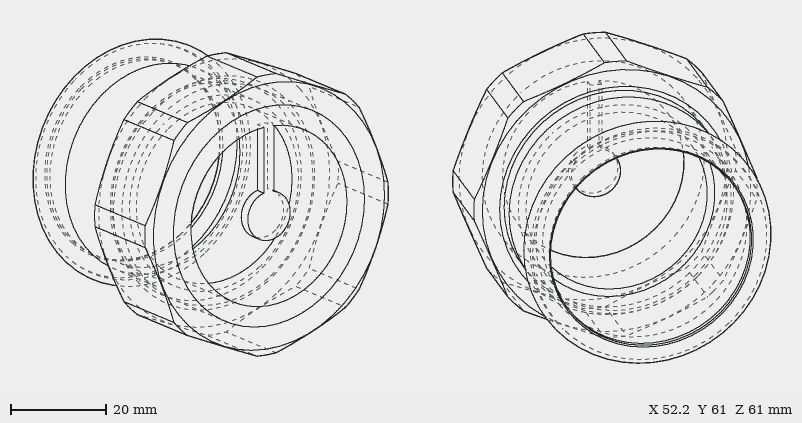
import cadquery as cq
import math

bead_cone_end = 9.0
flare_start = 26.3
collar_start = 28.05
nut_start = 31.2
total_length = 52.2

bead_radius = 26.5
bead_section_radius = 3.55
tube_radius = 45.4 / 2
collar_radius = 47.8 / 2

lip_chamfer = 0.3
mouth_radius = 43.3 / 2
lip_depth = 1.5
groove_crest_radius = 25.35
groove_section_radius = 3.35
groove_cone_angle = 41.5
blend_start = 7.6
blend_start_radius = 21.95
blend_end = 9.75
socket_radius = 42.3 / 2
through_radius = 39 / 2

nut_across_flats = 58.0
nut_corner_radius = 30.5
nut_sides = 8
nut_face_radius = 28.9
nut_bore_radius = collar_radius
countersink_radius = 50.35 / 2
nut_chamfer_angle = 30

disc_radius = 5.3
stem_width = 2.5
disc_thickness = 2.5


def revolve_about_x(profile):
    """Turn a closed (x, radius) profile around the X axis."""
    return profile.close().revolve(360, (0, 0, 0), (1, 0, 0))


def make_tube():
    """Solid press end: rounded bead, cone, tube, concave flare and long collar."""
    center_x = bead_section_radius
    center_r = bead_radius - bead_section_radius

    run = bead_cone_end - center_x
    drop = center_r - tube_radius
    tangent_angle = math.acos(bead_section_radius / math.hypot(run, drop)) - math.atan2(drop, run)

    def bead_point(angle):
        return (
            center_x + bead_section_radius * math.cos(angle),
            center_r + bead_section_radius * math.sin(angle),
        )

    profile = (
        cq.Workplane("XY")
        .lineTo(0, center_r)
        .threePointArc(bead_point((math.pi + tangent_angle) / 2), bead_point(tangent_angle))
        .lineTo(bead_cone_end, tube_radius)
        .lineTo(flare_start, tube_radius)
        .tangentArcPoint((collar_start, collar_radius), relative=False)
        .lineTo(total_length, collar_radius)
        .lineTo(total_length, 0)
    )
    return revolve_about_x(profile)


def make_nut():
    """Octagonal nut with corners on the Y and Z axes and a countersunk bore."""
    length = total_length - nut_start
    octagon_diameter = nut_across_flats / math.cos(math.pi / nut_sides)
    octagon = (
        cq.Workplane("YZ", origin=(nut_start, 0, 0))
        .polygon(nut_sides, octagon_diameter)
        .extrude(length)
    )
    chamfer_length = (nut_corner_radius - nut_face_radius) * math.tan(math.radians(nut_chamfer_angle))
    envelope = revolve_about_x(
        cq.Workplane("XY")
        .moveTo(nut_start, 0)
        .lineTo(nut_start, nut_face_radius)
        .lineTo(nut_start + chamfer_length, nut_corner_radius)
        .lineTo(total_length - chamfer_length, nut_corner_radius)
        .lineTo(total_length, nut_face_radius)
        .lineTo(total_length, 0)
    )
    countersink_depth = countersink_radius - nut_bore_radius
    bore = revolve_about_x(
        cq.Workplane("XY")
        .moveTo(nut_start, 0)
        .lineTo(nut_start, countersink_radius)
        .lineTo(nut_start + countersink_depth, nut_bore_radius)
        .lineTo(total_length, nut_bore_radius)
        .lineTo(total_length, 0)
    )
    return octagon.intersect(envelope).cut(bore)


def make_bore():
    """Chamfered lip, seal groove with a conical rear side, tube socket, stop and through bore."""
    slope = math.radians(groove_cone_angle)
    normal_angle = math.pi / 2 - slope
    groove_center_radius = groove_crest_radius - groove_section_radius
    cone_start_radius = groove_center_radius + groove_section_radius * math.sin(normal_angle)
    cone_start = blend_start - (cone_start_radius - blend_start_radius) / math.tan(slope)
    groove_center = cone_start - groove_section_radius * math.cos(normal_angle)
    lip_wall_radius = groove_center_radius + math.sqrt(
        groove_section_radius**2 - (groove_center - lip_depth) ** 2
    )
    groove_crest = (groove_center, groove_crest_radius)
    return revolve_about_x(
        cq.Workplane("XY")
        .lineTo(0, mouth_radius + lip_chamfer)
        .lineTo(lip_chamfer, mouth_radius)
        .lineTo(lip_depth, mouth_radius)
        .lineTo(lip_depth, lip_wall_radius)
        .threePointArc(groove_crest, (cone_start, cone_start_radius))
        .lineTo(blend_start, blend_start_radius)
        .tangentArcPoint((blend_end, socket_radius), relative=False)
        .lineTo(nut_start, socket_radius)
        .lineTo(nut_start, through_radius)
        .lineTo(total_length, through_radius)
        .lineTo(total_length, 0)
    )


def make_disc_on_stem():
    """Central disc whose stem runs up into the bore wall, flush with the tube's end."""
    plane = cq.Workplane("YZ", origin=(total_length - disc_thickness, 0, 0))
    disc = plane.circle(disc_radius).extrude(disc_thickness)
    stem_length = (through_radius + collar_radius) / 2
    stem = (
        plane.center(0, stem_length / 2)
        .rect(stem_width, stem_length)
        .extrude(disc_thickness)
    )
    return disc.union(stem)


def make_fitting():
    return make_tube().cut(make_bore()).union(make_disc_on_stem())


fitting = make_fitting()
nut = make_nut()

result = cq.Compound.makeCompound([fitting.val(), nut.val()])